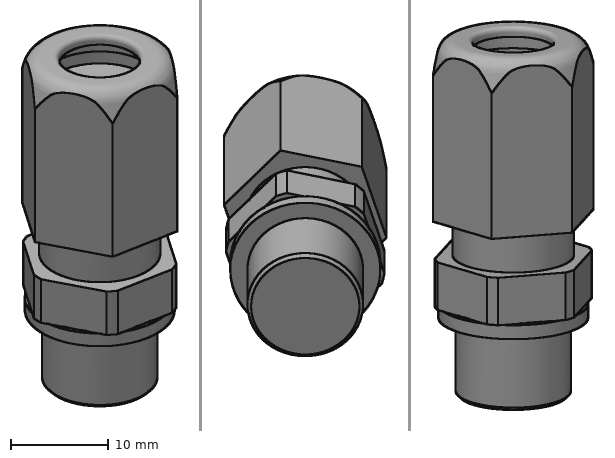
import cadquery as cq
import math


HEIGHT = 38.25
WASHER_BOTTOM = 8.3
WASHER_THICKNESS = 1.5
COLLAR_HEIGHT = 0.1
HEX_TOP = 15.05
NUT_BOTTOM = 19.3
SEAL_TOP = 34.1
NECK_TOP = 35.5
LIP_THICKNESS = 1.0

HEX_ACROSS_CORNERS = 17.18
BODY_ACROSS_CORNERS = 16.53

STEM_RADIUS = 5.95
STEM_CHAMFER = 0.4
COLLAR_RADIUS = 7.27
NECK_RADIUS = 6.27
WASHER_DIAMETER = 15.5

NUT_TOP_RADIUS = 6.0
NUT_ROUNDING = 2.0
NUT_TAPER = math.radians(20)
CORNER_CLEARANCE = 0.4

BORE_RADIUS = 5.9
OPENING_RADIUS = 4.17
LIP_ROUNDING = 0.55

COLLAR_BOTTOM = WASHER_BOTTOM + WASHER_THICKNESS
HEX_BOTTOM = COLLAR_BOTTOM + COLLAR_HEIGHT
LIP_BOTTOM = HEIGHT - LIP_THICKNESS


def cylinder(radius, bottom, top):
    return cq.Workplane("XY").workplane(offset=bottom).circle(radius).extrude(top - bottom)


def hexagon(bottom, top):
    """Hexagonal prism with two flats facing +X and -X."""
    prism = cq.Workplane("XY").polygon(6, HEX_ACROSS_CORNERS).extrude(top - bottom)
    return prism.rotate((0, 0, 0), (0, 0, 1), 30).translate((0, 0, bottom))


def nut_envelope():
    """Turned shape whose rounded, tapered top trims the nut's hexagon."""
    rounding_center_z = HEIGHT - NUT_ROUNDING

    def rounding_point(angle):
        return (
            NUT_TOP_RADIUS + NUT_ROUNDING * math.cos(angle),
            rounding_center_z + NUT_ROUNDING * math.sin(angle),
        )

    rounding_middle = rounding_point((math.pi / 2 + NUT_TAPER) / 2)
    taper_start = rounding_point(NUT_TAPER)
    outer_radius = HEX_ACROSS_CORNERS / 2 + CORNER_CLEARANCE
    taper_end_z = taper_start[1] - (outer_radius - taper_start[0]) / math.tan(NUT_TAPER)
    return (
        cq.Workplane("XZ")
        .moveTo(0, NUT_BOTTOM)
        .lineTo(outer_radius, NUT_BOTTOM)
        .lineTo(outer_radius, taper_end_z)
        .lineTo(*taper_start)
        .threePointArc(rounding_middle, (NUT_TOP_RADIUS, HEIGHT))
        .lineTo(0, HEIGHT)
        .close()
        .revolve(360, (0, 0, 0), (0, 1, 0))
    )


def rounded_opening():
    """Cutter for the hole through the nut lip, rounded over at its mouth."""
    mouth_radius = OPENING_RADIUS + LIP_ROUNDING
    arc_offset = LIP_ROUNDING * (1 - math.sqrt(0.5))
    arc_middle = (OPENING_RADIUS + arc_offset, HEIGHT - arc_offset)
    return (
        cq.Workplane("XZ")
        .moveTo(0, LIP_BOTTOM)
        .lineTo(OPENING_RADIUS, LIP_BOTTOM)
        .lineTo(OPENING_RADIUS, HEIGHT - LIP_ROUNDING)
        .threePointArc(arc_middle, (mouth_radius, HEIGHT))
        .lineTo(0, HEIGHT)
        .close()
        .revolve(360, (0, 0, 0), (0, 1, 0))
    )


def make_nut():
    blank = hexagon(NUT_BOTTOM, HEIGHT).intersect(nut_envelope())
    neck_socket = cylinder(NECK_RADIUS, NUT_BOTTOM, NECK_TOP)
    cavity = cylinder(BORE_RADIUS, NECK_TOP, LIP_BOTTOM)
    return blank.cut(neck_socket).cut(cavity).cut(rounded_opening())


def make_seal():
    """Plug that fills the neck bore to just below the end of the neck."""
    return cylinder(BORE_RADIUS, HEX_TOP, SEAL_TOP)


def make_body():
    stem = cylinder(STEM_RADIUS, 0, COLLAR_BOTTOM).faces("<Z").chamfer(STEM_CHAMFER)
    collar = cylinder(COLLAR_RADIUS, COLLAR_BOTTOM, HEX_BOTTOM)
    turned_disc = cylinder(BODY_ACROSS_CORNERS / 2, HEX_BOTTOM, HEX_TOP)
    rounded_hexagon = hexagon(HEX_BOTTOM, HEX_TOP).intersect(turned_disc)
    neck = cylinder(NECK_RADIUS, HEX_TOP, NECK_TOP)
    neck_bore = cylinder(BORE_RADIUS, HEX_TOP, NECK_TOP)
    return stem.union(collar).union(rounded_hexagon).union(neck).cut(neck_bore)


def make_washer():
    disc = cylinder(WASHER_DIAMETER / 2, WASHER_BOTTOM, COLLAR_BOTTOM)
    return disc.cut(cylinder(STEM_RADIUS, WASHER_BOTTOM, COLLAR_BOTTOM))


nut = make_nut()
seal = make_seal()
body = make_body()
washer = make_washer()

result = cq.Compound.makeCompound([nut.val(), seal.val(), body.val(), washer.val()])